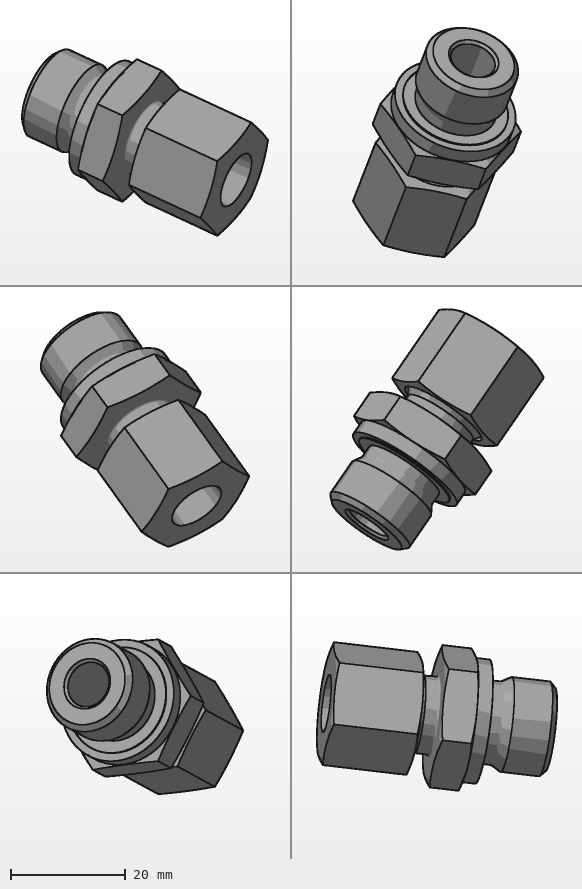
import cadquery as cq
import math


TOTAL_LENGTH = 39.5

BORE_RADIUS = 4.0
BORE_CHAMFER = 0.5

STUD_RADIUS = 8.35
STUD_CHAMFER = 1.0
STUD_LENGTH = 7.75
UNDERCUT_RADIUS = 7.35
RUNOUT_ANGLE = 30.0
UNDERCUT_FILLET = 1.03

SEAL_RADIUS = 9.48
SEAL_LENGTH = 1.5
SEAL_PROTRUSION = 0.25

COLLAR_START = 11.95
COLLAR_RADIUS = 10.9
BODY_HEX_START = 14.55
BODY_HEX_LENGTH = 6.0
BODY_ACROSS_FLATS = 22.0

NECK_RADIUS = 6.85
NECK_FILLET = 0.45
NECK_END = 23.1
SPIGOT_RADIUS = 8.0
SPIGOT_END = 31.6

NUT_START = 23.98
NUT_ACROSS_FLATS = 19.0
TUBE_HOLE_RADIUS = 5.0

HEX_CHAMFER_ANGLE = 15.0

RUNOUT_SLOPE = math.tan(math.radians(RUNOUT_ANGLE))
BODY_HEX_END = BODY_HEX_START + BODY_HEX_LENGTH
SEAL_START = COLLAR_START - SEAL_PROTRUSION
SEAL_END = SEAL_START + SEAL_LENGTH


def revolve_about_x(profile):
    """Revolve a closed (X, radius) profile about the X axis."""
    return profile.close().revolve(360, (0, 0, 0), (1, 0, 0))


def cylinder(start, end, radius):
    """Cylinder along X between two positions."""
    return cq.Workplane("YZ", origin=(start, 0, 0)).circle(radius).extrude(end - start)


def chamfered_hexagon(start, end, across_flats):
    """Hexagonal bar along X, flats facing +Z and -Z, corners turned off conically at both ends."""
    flat_radius = across_flats / 2
    corner_radius = flat_radius / math.cos(math.radians(30))
    drop = (corner_radius - flat_radius) * math.tan(math.radians(HEX_CHAMFER_ANGLE))
    bar = (
        cq.Workplane("YZ", origin=(start, 0, 0))
        .polygon(6, 2 * corner_radius)
        .extrude(end - start)
    )
    envelope = revolve_about_x(
        cq.Workplane("XY")
        .moveTo(start, 0)
        .lineTo(start, flat_radius)
        .lineTo(start + drop, corner_radius)
        .lineTo(end - drop, corner_radius)
        .lineTo(end, flat_radius)
        .lineTo(end, 0)
    )
    return bar.intersect(envelope)


def turned_stud():
    """Stud with chamfered end, conical runout, filleted undercut and the collar."""
    runout_end = STUD_LENGTH + (STUD_RADIUS - UNDERCUT_RADIUS) / RUNOUT_SLOPE
    full_angle = math.radians(RUNOUT_ANGLE)
    half_angle = full_angle / 2
    fillet_end = runout_end + UNDERCUT_FILLET * math.tan(half_angle)
    fillet_centre_radius = UNDERCUT_RADIUS + UNDERCUT_FILLET

    def fillet_point(angle):
        return (
            fillet_end - UNDERCUT_FILLET * math.sin(angle),
            fillet_centre_radius - UNDERCUT_FILLET * math.cos(angle),
        )

    return revolve_about_x(
        cq.Workplane("XY")
        .moveTo(0, 0)
        .lineTo(0, STUD_RADIUS - STUD_CHAMFER)
        .lineTo(STUD_CHAMFER, STUD_RADIUS)
        .lineTo(STUD_LENGTH, STUD_RADIUS)
        .lineTo(*fillet_point(full_angle))
        .threePointArc(fillet_point(half_angle), fillet_point(0))
        .lineTo(COLLAR_START, UNDERCUT_RADIUS)
        .lineTo(COLLAR_START, COLLAR_RADIUS)
        .lineTo(BODY_HEX_START, COLLAR_RADIUS)
        .lineTo(BODY_HEX_START, 0)
    )


def neck_and_spigot():
    """Neck behind the hexagon, widening conically to the spigot inside the nut."""
    cone_end = NECK_END + (SPIGOT_RADIUS - NECK_RADIUS) / RUNOUT_SLOPE
    fillet_reach = NECK_FILLET * (1 - math.sqrt(0.5))
    return revolve_about_x(
        cq.Workplane("XY")
        .moveTo(BODY_HEX_END, 0)
        .lineTo(BODY_HEX_END, NECK_RADIUS + NECK_FILLET)
        .threePointArc(
            (BODY_HEX_END + fillet_reach, NECK_RADIUS + fillet_reach),
            (BODY_HEX_END + NECK_FILLET, NECK_RADIUS),
        )
        .lineTo(NECK_END, NECK_RADIUS)
        .lineTo(cone_end, SPIGOT_RADIUS)
        .lineTo(SPIGOT_END, SPIGOT_RADIUS)
        .lineTo(SPIGOT_END, 0)
    )


def bore():
    """Through bore of the body, chamfered at the stud face."""
    return revolve_about_x(
        cq.Workplane("XY")
        .moveTo(0, 0)
        .lineTo(0, BORE_RADIUS + BORE_CHAMFER)
        .lineTo(BORE_CHAMFER, BORE_RADIUS)
        .lineTo(SPIGOT_END, BORE_RADIUS)
        .lineTo(SPIGOT_END, 0)
    )


def make_seal():
    """Flat sealing ring around the undercut."""
    ring = cylinder(SEAL_START, SEAL_END, SEAL_RADIUS)
    return ring.cut(cylinder(SEAL_START, SEAL_END, UNDERCUT_RADIUS))


def make_fitting_body():
    """Stud, hexagon and spigot in one piece, with the recess for the sealing ring."""
    hexagon = chamfered_hexagon(BODY_HEX_START, BODY_HEX_END, BODY_ACROSS_FLATS)
    solid = turned_stud().union(hexagon).union(neck_and_spigot())
    return solid.cut(bore()).cut(make_seal())


def make_nut():
    """Union nut with a bore that fits the spigot and a tube hole at the back."""
    hexagon = chamfered_hexagon(NUT_START, TOTAL_LENGTH, NUT_ACROSS_FLATS)
    spigot_bore = cylinder(NUT_START, SPIGOT_END, SPIGOT_RADIUS)
    tube_hole = cylinder(SPIGOT_END, TOTAL_LENGTH, TUBE_HOLE_RADIUS)
    return hexagon.cut(spigot_bore).cut(tube_hole)


fitting_body = make_fitting_body()
seal = make_seal()
nut = make_nut()

result = cq.Compound.makeCompound([fitting_body.val(), seal.val(), nut.val()])